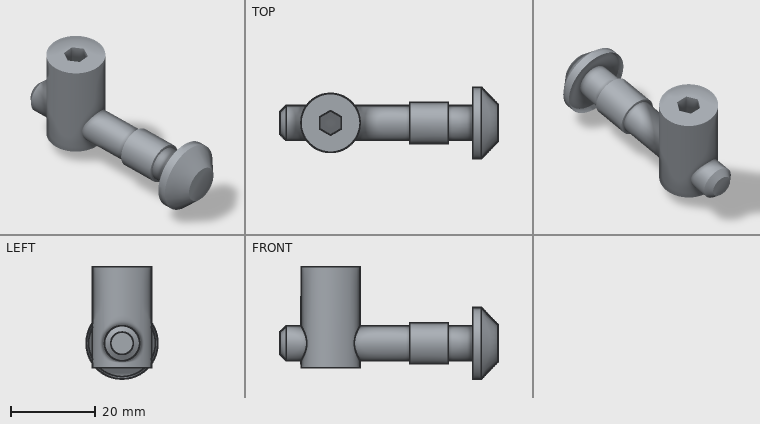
import cadquery as cq

pin_length = 51.7
pin_diameter = 8.3
tip_chamfer = 1.5

sleeve_diameter = 9.8
sleeve_start = 30.7
sleeve_length = 9.2

head_diameter = 17.0
head_length = 6.05
rim_length = 2.05
head_end_diameter = 8.75
head_start = pin_length - head_length
cone_length = head_length - rim_length

recess_floor_diameter = 15.8
recess_depth = 1.0

barrel_diameter = 14.0
barrel_x = 12.0
barrel_top = 18.15
barrel_height = 24.0

socket_across_corners = 5.8
socket_depth = 6.2


def rod(start, length, diameter):
    """Cylinder along the pin axis."""
    return cq.Workplane("YZ", origin=(start, 0, 0)).circle(diameter / 2).extrude(length)


def make_pin():
    shank = rod(0, pin_length - cone_length, pin_diameter)
    shank = shank.faces("<X").chamfer(tip_chamfer)
    return shank.union(rod(sleeve_start, sleeve_length, sleeve_diameter))


def make_head():
    rim_radius = head_diameter / 2
    profile = (
        cq.Workplane("XY")
        .moveTo(head_start + recess_depth, 0)
        .lineTo(head_start + recess_depth, recess_floor_diameter / 2)
        .lineTo(head_start, rim_radius)
        .lineTo(head_start + rim_length, rim_radius)
        .lineTo(pin_length, head_end_diameter / 2)
        .lineTo(pin_length, 0)
        .close()
    )
    return profile.revolve(360, (0, 0, 0), (1, 0, 0))


def make_barrel():
    top_plane = cq.Workplane("XY", origin=(barrel_x, 0, barrel_top))
    return top_plane.circle(barrel_diameter / 2).extrude(-barrel_height)


def make_socket():
    top_plane = cq.Workplane("XY", origin=(barrel_x, 0, barrel_top))
    hexagon = top_plane.transformed(rotate=(0, 0, 90)).polygon(6, socket_across_corners)
    return hexagon.extrude(-socket_depth)


result = make_pin().union(make_head()).union(make_barrel()).cut(make_socket())